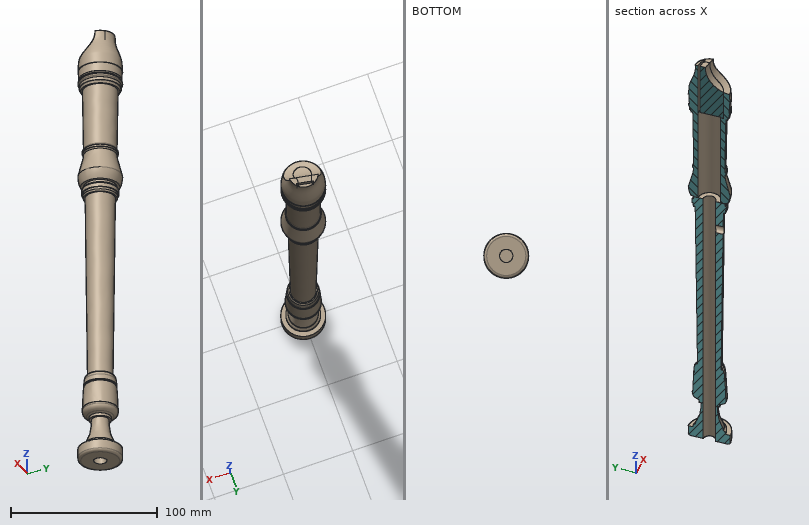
import cadquery as cq
import math


total_height = 325.9
largest_radius = 30.63 / 2
joint_z = 210.4
head_turn = -10.0

body_bore_radius = 4.5
bell_edge = 2.0
bell_top_z = 8.6
cove_radius = 11.9
cove_ledge_z = 9.8
flare_radius = 10.3
cove_top_z = 11.6
flare_bottom_z = 12.6
flare_mid_radius = 7.7
flare_mid_z = 18.5
waist_radius = 6.1
waist_z = 31.0

bulb_neck_radius = 7.6
bulb_neck_top_z = 33.0
bulb_underside_radius = 9.3
bulb_underside_z = 33.8
bulb_radius = 12.4
bulb_lip_bottom_z = 38.0
bulb_lip_top_z = 39.3
bulb_lip_step = 0.2
bulb_side_radius = 12.0
bulb_side_z = 47.0
bulb_top_radius = 11.4
foot_groove_depth = 0.5
foot_groove_z = 56.4
foot_groove_width = 1.0
foot_bead_radius = 11.1
foot_bead_z = 61.0
foot_rim_radius = 10.6
foot_rim_z = 63.2
foot_top_radius = 9.6
foot_top_z = 64.2

tube_top_z = 201.6
tube_top_radius = 10.45
tube_bottom_radius = 8.8
neck_radius = 11.5
collar_radius = 12.7
collar_bottom_z = 204.6
collar_edge = 0.5
collar_edge_height = 1.0
collar_top_z = 208.4
ledge_radius = 12.0
ledge_chamfer = 0.5
ledge_chamfer_height = 1.4
thumb_hole_z = 186.4
thumb_hole_radius = 3.1

head_bore_radius = 8.0
skirt_bottom_radius = 13.4
skirt_bulge_radius = 14.8
skirt_bulge_z = 213.9
skirt_z = 218.2
skirt_flare_radius = 13.0
skirt_flare_z = 227.0
skirt_top_z = 234.5
bead_z = 235.7
bead_height = 1.6
bead_radius = 12.3
bead_depth = 0.4
tube_start_z = 238.6
head_tube_bottom_radius = 11.5
head_tube_top_radius = 12.2
head_tube_top_z = 283.9

moulding_bottom_radius = 13.3
moulding_radius = 14.0
moulding_step_z = 285.8
groove_radius = 14.4
ring_bottom_z = 288.9
ring_height = 1.8
ring_chamfer_height = 0.9
cap_radius = 14.9
cap_bottom_z = 298.9
beak_shoulder_radius = 15.1
beak_shoulder_z = 304.5
beak_mid_radius = 12.2
beak_mid_z = 314.6
tip_radius = 10.2

scoop_radius = 18.0
scoop_y = -15.4
scoop_z = total_height - 0.9

block_radius = 6.2
block_y = -4.0
block_top_y = 6.7
block_top_half_width = 4.4
block_bottom_z = 285.0
windway_width = 11.5
windway_height = 1.3


def revolve(profile):
    """Solid of revolution about Z from an open profile whose ends lie on the axis."""
    return profile.close().revolve(360, (0, 0, 0), (0, 1, 0))


def bore(radius, bottom, top):
    return cq.Workplane("XY").workplane(offset=bottom).circle(radius).extrude(top - bottom)


def add_bell(profile):
    return (
        profile.lineTo(largest_radius - bell_edge, 0)
        .radiusArc((largest_radius, bell_edge), -bell_edge)
        .lineTo(largest_radius, bell_top_z)
        .lineTo(cove_radius, bell_top_z)
        .lineTo(cove_radius, cove_ledge_z)
        .lineTo(flare_radius, cove_top_z)
        .lineTo(flare_radius, flare_bottom_z)
        .spline(
            [(flare_mid_radius, flare_mid_z), (waist_radius, waist_z)],
            tangents=[(-0.5, 1), (0, 1)],
            includeCurrent=True,
        )
    )


def add_bulb(profile):
    groove_top_z = foot_groove_z + foot_groove_width
    return (
        profile.lineTo(bulb_neck_radius, waist_z)
        .lineTo(bulb_neck_radius, bulb_neck_top_z)
        .lineTo(bulb_underside_radius, bulb_underside_z)
        .spline([(bulb_radius, bulb_lip_bottom_z)], tangents=[(1, 0.4), (0, 1)], includeCurrent=True)
        .lineTo(bulb_radius, bulb_lip_top_z)
        .lineTo(bulb_radius - bulb_lip_step, bulb_lip_top_z)
        .threePointArc((bulb_side_radius, bulb_side_z), (bulb_top_radius, foot_groove_z))
        .lineTo(bulb_top_radius - foot_groove_depth, foot_groove_z)
        .lineTo(bulb_top_radius - foot_groove_depth, groove_top_z)
        .lineTo(bulb_top_radius, groove_top_z)
        .lineTo(foot_bead_radius, foot_bead_z)
        .lineTo(foot_rim_radius, foot_rim_z)
        .lineTo(foot_top_radius, foot_top_z)
    )


def add_tube_and_collar(profile):
    return (
        profile.lineTo(tube_bottom_radius, foot_top_z)
        .lineTo(tube_top_radius, tube_top_z)
        .lineTo(ledge_radius - ledge_chamfer, tube_top_z)
        .lineTo(ledge_radius, tube_top_z + ledge_chamfer_height)
        .lineTo(ledge_radius, collar_bottom_z)
        .lineTo(collar_radius, collar_bottom_z)
        .lineTo(collar_radius, collar_top_z - collar_edge_height)
        .lineTo(collar_radius - collar_edge, collar_top_z)
        .lineTo(neck_radius, collar_top_z)
        .lineTo(neck_radius, joint_z)
        .lineTo(0, joint_z)
    )


def make_body():
    profile = cq.Workplane("XZ").moveTo(0, 0)
    turned = revolve(add_tube_and_collar(add_bulb(add_bell(profile))))
    thumb_hole = (
        cq.Workplane("XZ")
        .center(0, thumb_hole_z)
        .circle(thumb_hole_radius)
        .extrude(largest_radius)
    )
    return turned.cut(bore(body_bore_radius, 0, joint_z)).cut(thumb_hole)


def add_skirt_and_tube(profile):
    bead_top_z = bead_z + bead_height
    return (
        profile.lineTo(skirt_bottom_radius, joint_z)
        .threePointArc((skirt_bulge_radius, skirt_bulge_z), (largest_radius, skirt_z))
        .spline(
            [(skirt_flare_radius, skirt_flare_z), (head_tube_bottom_radius, skirt_top_z)],
            tangents=[(-0.3, 1), (-0.1, 1)],
            includeCurrent=True,
        )
        .lineTo(bead_radius - bead_depth, bead_z)
        .lineTo(bead_radius, bead_z)
        .lineTo(bead_radius, bead_top_z)
        .lineTo(bead_radius - bead_depth, bead_top_z)
        .lineTo(head_tube_bottom_radius, tube_start_z)
        .lineTo(head_tube_top_radius, head_tube_top_z)
    )


def add_mouldings(profile):
    ring_mid_z = ring_bottom_z + ring_height / 2
    ring_top_z = ring_bottom_z + ring_height
    return (
        profile.lineTo(moulding_bottom_radius, head_tube_top_z)
        .lineTo(moulding_radius, moulding_step_z)
        .lineTo(groove_radius, moulding_step_z)
        .lineTo(groove_radius, ring_bottom_z - ring_chamfer_height)
        .lineTo(cap_radius, ring_bottom_z)
        .threePointArc((largest_radius, ring_mid_z), (cap_radius, ring_top_z))
        .lineTo(groove_radius, ring_top_z)
        .lineTo(groove_radius, ring_top_z + ring_chamfer_height)
        .lineTo(cap_radius, ring_top_z + 2 * ring_chamfer_height)
        .lineTo(cap_radius, cap_bottom_z)
    )


def add_beak(profile):
    return (
        profile.lineTo(largest_radius, cap_bottom_z)
        .spline(
            [
                (beak_shoulder_radius, beak_shoulder_z),
                (beak_mid_radius, beak_mid_z),
                (tip_radius, total_height),
            ],
            tangents=[(0, 1), (0, 1)],
            includeCurrent=True,
        )
        .lineTo(0, total_height)
    )


def scoop():
    return (
        cq.Workplane("YZ")
        .center(scoop_y, scoop_z)
        .circle(scoop_radius)
        .extrude(largest_radius, both=True)
    )


def block_prism():
    """Rounded plug whose flat sides close in towards the windway, up to the top of the beak."""
    rise = block_top_y - block_y
    reach = math.hypot(rise, block_top_half_width)
    angle = math.atan2(rise, block_top_half_width) - math.acos(block_radius / reach)
    tangent_x = block_radius * math.cos(angle)
    tangent_y = block_y + block_radius * math.sin(angle)
    return (
        cq.Workplane("XY")
        .workplane(offset=block_bottom_z)
        .moveTo(-block_top_half_width, block_top_y)
        .lineTo(-tangent_x, tangent_y)
        .threePointArc((0, block_y - block_radius), (tangent_x, tangent_y))
        .lineTo(block_top_half_width, block_top_y)
        .close()
        .extrude(total_height - block_bottom_z)
    )


def windway():
    return (
        cq.Workplane("XY")
        .workplane(offset=block_bottom_z)
        .center(0, block_top_y + windway_height / 2)
        .rect(windway_width, windway_height)
        .extrude(total_height - block_bottom_z)
    )


def turn_head(shape):
    return shape.rotate((0, 0, 0), (0, 0, 1), head_turn)


def make_head():
    profile = cq.Workplane("XZ").moveTo(0, joint_z)
    turned = revolve(add_beak(add_mouldings(add_skirt_and_tube(profile))))
    bored = turned.cut(bore(head_bore_radius, joint_z, block_bottom_z))
    return turn_head(bored.cut(scoop()).cut(block_prism()).cut(windway()))


def make_block():
    return turn_head(block_prism().cut(scoop()))


body = make_body()
head = make_head()
block = make_block()

result = cq.Compound.makeCompound([body.val(), head.val(), block.val()])